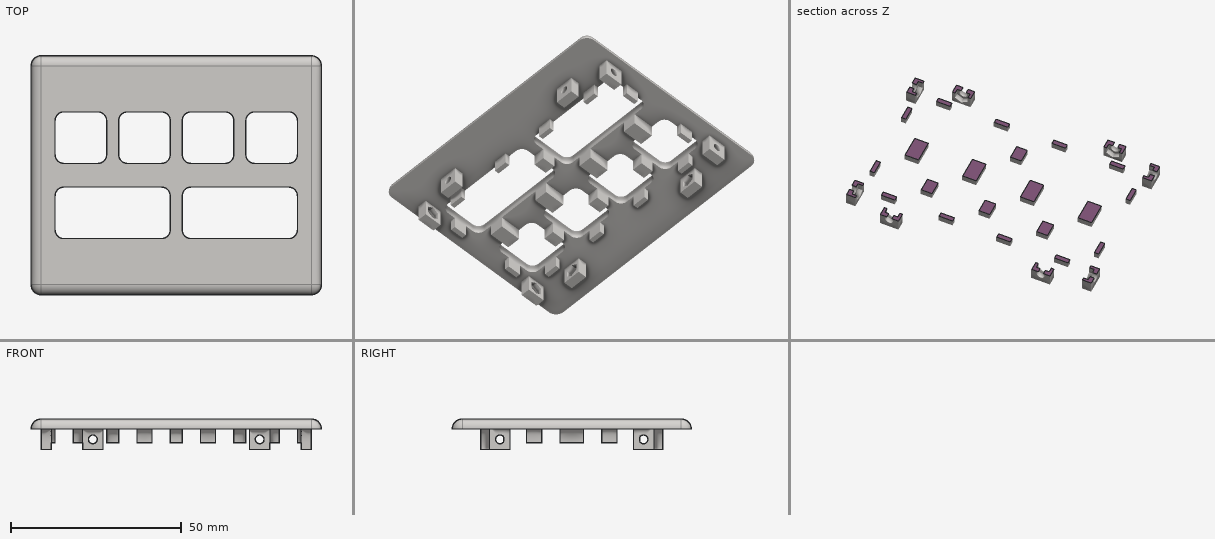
import math

import cadquery as cq

plate_length = 85.0
plate_width = 70.0
plate_thickness = 3.0
edge_radius = plate_thickness

window_size = 15.0
window_radius = 2.5
column_pitch = 18.6
row_pitch = 22.0
column_gap = column_pitch - window_size
row_gap = row_pitch - window_size
long_window_length = column_pitch + window_size
column_count = 4
column_positions = [(index - (column_count - 1) / 2) * column_pitch for index in range(column_count)]
long_window_positions = [-column_pitch, column_pitch]
back_row_y = row_pitch / 2
front_row_y = -row_pitch / 2

post_height = 4.0
post_length = 4.5
outer_post_depth = 1.5

lug_height = 6.0
lug_length = 6.0
lug_thickness = 3.0
lug_hole_diameter = 2.5
nut_across_flats = 4.0
nut_across_corners = nut_across_flats / math.cos(math.pi / 6)
nut_pocket_depth = 1.5
side_lug_x = plate_length / 2 - edge_radius - lug_thickness / 2
side_lug_y = 21.0
end_lug_x = 24.4
end_lug_y = 25.15


def hanging_block(x, y, length, width, height):
    """Block centred at (x, y) that hangs from the underside of the plate."""
    block = cq.Workplane("XY").box(length, width, height, centered=(True, True, False))
    return block.translate((x, y, -height))


def make_plate():
    """Plate with quarter-round edges that end in spherical corners."""
    blank = (
        cq.Workplane("XY")
        .box(plate_length, plate_width, 2 * plate_thickness)
        .edges("|Z or >Z")
        .fillet(edge_radius)
    )
    lower_half = hanging_block(0, 0, plate_length, plate_width, plate_thickness)
    return blank.cut(lower_half)


def window_cutter(x, y, length):
    """Rounded rectangular block, as deep as the plate, that opens one window."""
    cutter = cq.Workplane("XY").box(length, window_size, plate_thickness, centered=(True, True, False))
    return cutter.edges("|Z").fillet(window_radius).translate((x, y, 0))


def cut_windows(body):
    """Back row of square windows and front row of long ones."""
    for x in column_positions:
        body = body.cut(window_cutter(x, back_row_y, window_size))
    for x in long_window_positions:
        body = body.cut(window_cutter(x, front_row_y, long_window_length))
    return body


def add_posts(body):
    """Posts at the middle of the window sides."""
    outer_y = back_row_y + window_size / 2 + outer_post_depth / 2
    for x in column_positions:
        body = body.union(hanging_block(x, 0, post_length, row_gap, post_height))
        for y in (-outer_y, outer_y):
            body = body.union(hanging_block(x, y, post_length, outer_post_depth, post_height))

    for x in (-column_pitch, 0, column_pitch):
        body = body.union(hanging_block(x, back_row_y, column_gap, post_length, post_height))
    body = body.union(hanging_block(0, front_row_y, column_gap, post_length, post_height))

    outer_x = column_positions[-1] + window_size / 2 + outer_post_depth / 2
    for x in (-outer_x, outer_x):
        for y in (front_row_y, back_row_y):
            body = body.union(hanging_block(x, y, outer_post_depth, post_length, post_height))
    return body


def make_lug():
    """Lug along X that faces +Y, with a cross hole and a hexagonal nut pocket in its +Y face."""
    hole_z = -lug_height / 2
    lug = hanging_block(0, 0, lug_length, lug_thickness, lug_height)
    hole = (
        cq.Workplane("XZ")
        .center(0, hole_z)
        .circle(lug_hole_diameter / 2)
        .extrude(lug_thickness / 2, both=True)
    )
    nut = (
        cq.Workplane("XY")
        .polygon(6, nut_across_corners)
        .extrude(nut_pocket_depth)
        .rotate((0, 0, 0), (0, 0, 1), 90)
        .rotate((0, 0, 0), (1, 0, 0), 90)
        .translate((0, lug_thickness / 2, hole_z))
    )
    return lug.cut(hole).cut(nut)


def add_lugs(body):
    """Four lugs along the long sides and four along the short ones, nut pockets facing inwards."""
    front_lug = make_lug()
    left_lug = front_lug.rotate((0, 0, 0), (0, 0, 1), -90)
    back_lug = front_lug.rotate((0, 0, 0), (0, 0, 1), 180)
    right_lug = front_lug.rotate((0, 0, 0), (0, 0, 1), 90)
    for sign in (-1, 1):
        body = body.union(front_lug.translate((sign * end_lug_x, -end_lug_y, 0)))
        body = body.union(back_lug.translate((sign * end_lug_x, end_lug_y, 0)))
        body = body.union(left_lug.translate((-side_lug_x, sign * side_lug_y, 0)))
        body = body.union(right_lug.translate((side_lug_x, sign * side_lug_y, 0)))
    return body


result = add_lugs(add_posts(cut_windows(make_plate())))